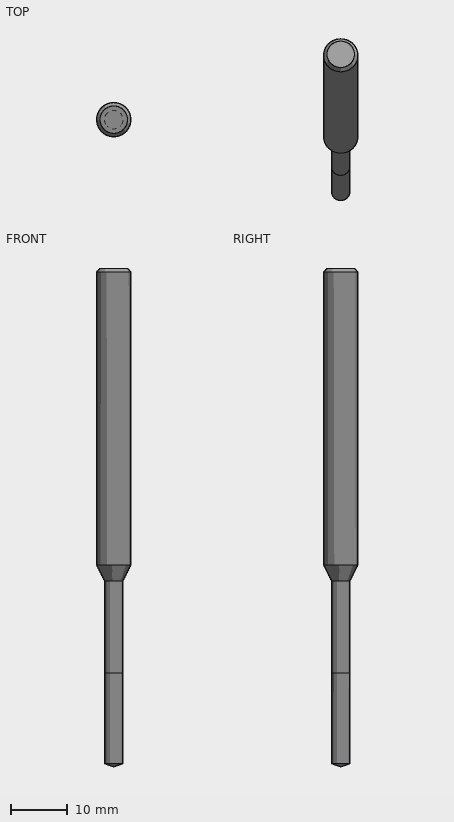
import cadquery as cq
import math

total_length = 87.6
shank_diameter = 6.0
cutter_diameter = 3.2

tip_angle = 140.0
cutter_length = 16.55
shoulder_bottom = 32.7
shoulder_top = 35.5
end_chamfer = 0.6

shank_radius = shank_diameter / 2
cutter_radius = cutter_diameter / 2
tip_height = cutter_radius / math.tan(math.radians(tip_angle / 2))


def revolve_about_z(profile):
    """Revolve a closed outline of (radius, height) points around the Z axis."""
    return cq.Workplane("XZ").polyline(profile).close().revolve(360, (0, 0, 0), (0, 1, 0))


def make_cutter():
    """Slim cylindrical cutting end with a conical tip."""
    return revolve_about_z([
        (0, 0),
        (cutter_radius, tip_height),
        (cutter_radius, cutter_length),
        (0, cutter_length),
    ])


def make_shank():
    """Neck, tapered shoulder and shank with a chamfered upper end."""
    return revolve_about_z([
        (0, cutter_length),
        (cutter_radius, cutter_length),
        (cutter_radius, shoulder_bottom),
        (shank_radius, shoulder_top),
        (shank_radius, total_length - end_chamfer),
        (shank_radius - end_chamfer, total_length),
        (0, total_length),
    ])


cutter = make_cutter()
shank = make_shank()

result = cq.Compound.makeCompound([cutter.val(), shank.val()])